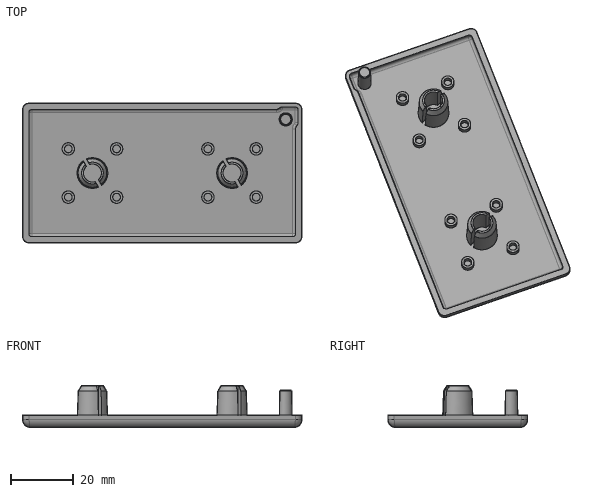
import cadquery as cq
import math

length = 90.0
width = 45.0
plate_height = 4.0
total_height = 13.5
corner_radius = 2.0
underside_radius = 2.5

wall = 2.0
floor_z = 2.0
tray_radius = 1.0

relief_wall = 1.2
relief_reach = 8.25
bend_radius = 1.5

post_x = 22.5
post_base_radius = 4.95
post_tip_radius = 3.5
post_tip_height = 1.8
bore_radius = 2.9
post_draft = math.radians(2.0)
slot_width = 1.2
slot_angle = -60.0

boss_diameter = 4.0
boss_hole_diameter = 2.5
boss_height = 2.0
boss_circle_radius = 11.0
boss_count = 4
boss_start_angle = 45.0

pin_inset = 5.2
pin_top_diameter = 3.9
pin_top_z = 12.0
pin_chamfer = 0.3
pin_draft = math.radians(1.0)


def make_plate():
    plate = cq.Workplane("XY").box(length, width, plate_height, centered=(True, True, False))
    plate = plate.faces("<Z").edges().fillet(underside_radius)
    return plate.edges("|Z").fillet(corner_radius)


def make_tray():
    """Solid that is removed to form the tray, with its widened corner at +X +Y."""
    edge_x = length / 2
    edge_y = width / 2
    tray_x = edge_x - wall
    tray_y = edge_y - wall
    relief_x = edge_x - relief_wall
    relief_y = edge_y - relief_wall

    step = wall - relief_wall
    bend_angle = math.acos(1 - step / (2 * bend_radius))
    bend_run = 2 * bend_radius * math.sin(bend_angle)
    arc_mid_run = bend_radius * math.sin(bend_angle / 2)
    arc_mid_rise = bend_radius * (1 - math.cos(bend_angle / 2))

    start_x = edge_x - relief_reach
    start_y = edge_y - relief_reach
    outline = (
        cq.Workplane("XY", origin=(0, 0, floor_z))
        .moveTo(-tray_x, -tray_y)
        .lineTo(tray_x, -tray_y)
        .lineTo(tray_x, start_y)
        .threePointArc(
            (tray_x + arc_mid_rise, start_y + arc_mid_run),
            (tray_x + step / 2, start_y + bend_run / 2),
        )
        .threePointArc(
            (relief_x - arc_mid_rise, start_y + bend_run - arc_mid_run),
            (relief_x, start_y + bend_run),
        )
        .lineTo(relief_x, relief_y)
        .lineTo(start_x + bend_run, relief_y)
        .threePointArc(
            (start_x + bend_run - arc_mid_run, relief_y - arc_mid_rise),
            (start_x + bend_run / 2, tray_y + step / 2),
        )
        .threePointArc(
            (start_x + arc_mid_run, tray_y + arc_mid_rise),
            (start_x, tray_y),
        )
        .lineTo(-tray_x, tray_y)
        .close()
    )
    tray = outline.extrude(plate_height - floor_z)
    corners = [
        (-tray_x, -tray_y),
        (tray_x, -tray_y),
        (relief_x, relief_y),
        (-tray_x, tray_y),
    ]
    for x, y in corners:
        corner = cq.selectors.NearestToPointSelector((x, y, (floor_z + plate_height) / 2))
        tray = tray.edges("|Z").edges(corner).fillet(tray_radius)
    return tray.faces("<Z").edges().fillet(tray_radius)


def revolve_profile(points):
    """Turn (radius, z) points around the Z axis."""
    return cq.Workplane("XZ").polyline(points).close().revolve(360, (0, 0, 0), (0, 1, 0))


def make_post():
    """Tapered hollow post standing on the tray floor, split by one slot across it."""
    height = total_height - floor_z
    shoulder_z = total_height - post_tip_height
    shoulder_radius = post_base_radius - (shoulder_z - floor_z) * math.tan(post_draft)
    post = revolve_profile([
        (bore_radius, floor_z),
        (post_base_radius, floor_z),
        (shoulder_radius, shoulder_z),
        (post_tip_radius, total_height),
        (bore_radius, total_height),
    ])
    slot = (
        cq.Workplane("XY", origin=(0, 0, floor_z))
        .box(2 * post_base_radius, slot_width, height, centered=(True, True, False))
        .rotate((0, 0, 0), (0, 0, 1), slot_angle)
    )
    return post.cut(slot)


def make_bosses():
    return (
        cq.Workplane("XY", origin=(0, 0, floor_z))
        .polarArray(boss_circle_radius, boss_start_angle, 360, boss_count)
        .circle(boss_diameter / 2)
        .circle(boss_hole_diameter / 2)
        .extrude(boss_height)
    )


def make_pin():
    top_radius = pin_top_diameter / 2
    base_radius = top_radius + (pin_top_z - pin_chamfer - floor_z) * math.tan(pin_draft)
    pin = revolve_profile([
        (0, floor_z),
        (base_radius, floor_z),
        (top_radius, pin_top_z - pin_chamfer),
        (top_radius - pin_chamfer, pin_top_z),
        (0, pin_top_z),
    ])
    return pin.translate((length / 2 - pin_inset, width / 2 - pin_inset, 0))


result = make_plate().cut(make_tray())
for x in (-post_x, post_x):
    result = result.union(make_post().translate((x, 0, 0)))
    result = result.union(make_bosses().translate((x, 0, 0)))
result = result.union(make_pin())